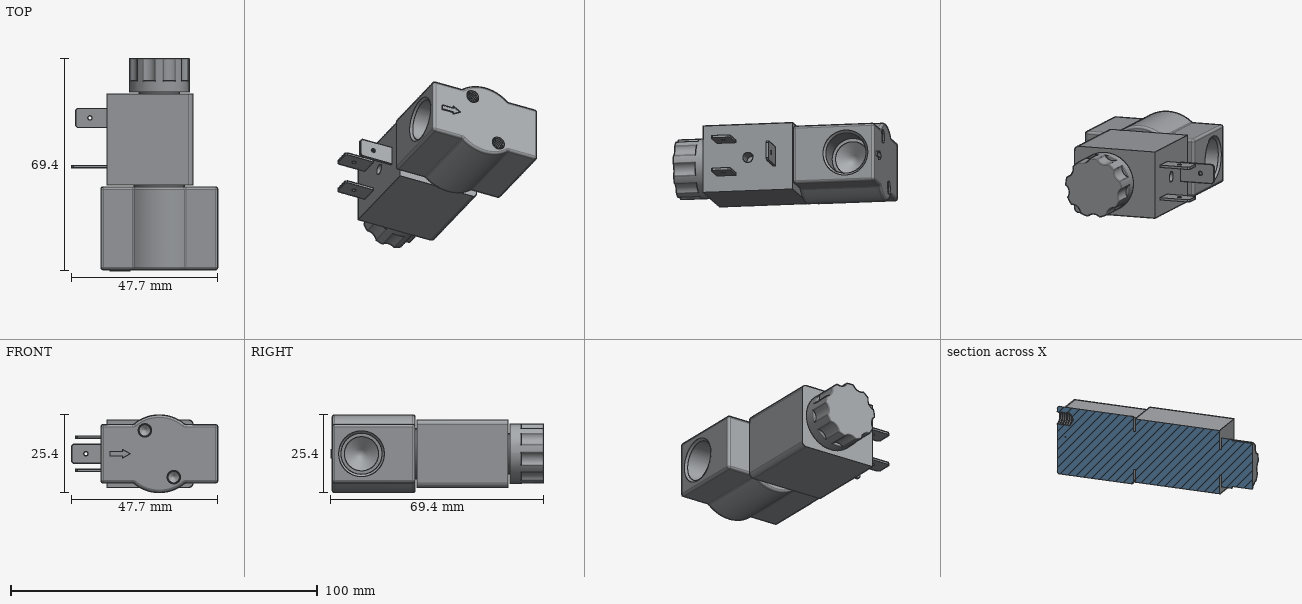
import cadquery as cq
import math


BODY_LENGTH_X = 38.15
BODY_DEPTH_Y = 27.05
BODY_HEIGHT_Z = 19.1
BULGE_RADIUS = 12.7
BODY_FILLET = 0.8

PORT_Y = 9.6
PORT_MOUTH_DIAMETER = 14.9
PORT_BORE_DIAMETER = 13.4
PORT_DRILL_DIAMETER = 11.2
PORT_DEPTH = 11.0
PORT_CONE_HEIGHT = 3.3

MOUNT_X = 4.7
MOUNT_Z = 7.6
THREAD_MAJOR_DIAMETER = 4.4
THREAD_MINOR_DIAMETER = 3.75
THREAD_PITCH = 0.8
THREAD_TURNS = 6
MOUNT_CONE_HEIGHT = 1.1

ARROW_TAIL_X = -16.0
ARROW_NECK_X = -12.0
ARROW_TIP_X = -9.5
ARROW_SHAFT_WIDTH = 1.5
ARROW_HEAD_WIDTH = 2.85
ARROW_RAISE = 0.4

NECK_GAP = 0.55
BODY_NECK_DIAMETER = 16.4
KNOB_NECK_DIAMETER = 13.2
NECK_KEY_WIDTH = 2.35
NECK_KEY_REACH = 8.3

COIL_X_MIN = -17.1
COIL_X_MAX = 11.0
COIL_LENGTH_Y = 29.8
COIL_HEIGHT_Z = 22.1
COIL_CORNER_RADIUS = 1.5
SCREW_HOLE_DIAMETER = 3.3
SCREW_HOLE_DEPTH = 6.95

TAB_WIDTH = 6.3
TAB_THICKNESS = 0.75
TAB_CORNER_CHAMFER = 0.6
TAB_HOLE_DIAMETER = 1.3
TAB_HOLE_FROM_TIP = 4.65
TAB_EMBED = 0.7
PAIR_TIP_X = -27.3
PAIR_Y = 49.55
PAIR_Z = 5.4
GROUND_TIP_X = -28.6
GROUND_Y = 33.65

KNOB_DIAMETER = 19.6
GRIP_COUNT = 9
GRIP_WIDTH = 4.15
GRIP_SAGITTA = 0.8
GRIP_LENGTH = 7.3
GRIP_EDGE_FILLET = 0.2
OVERALL_LENGTH = 69.4

COIL_START_Y = BODY_DEPTH_Y + NECK_GAP
COIL_END_Y = COIL_START_Y + COIL_LENGTH_Y
KNOB_START_Y = COIL_END_Y + NECK_GAP
KNOB_END_Y = OVERALL_LENGTH - ARROW_RAISE


def xz_plane(y):
    """Sketch plane across the main axis: local x is X, local y is Z, extrudes towards -Y."""
    return cq.Workplane("XZ", origin=(0, y, 0))


def disc(diameter, y_start, y_end):
    """Cylinder on the main axis between two stations."""
    return xz_plane(y_end).circle(diameter / 2).extrude(y_end - y_start)


def make_body():
    block = xz_plane(BODY_DEPTH_Y).rect(BODY_LENGTH_X, BODY_HEIGHT_Z).extrude(BODY_DEPTH_Y)
    body = block.union(disc(2 * BULGE_RADIUS, 0, BODY_DEPTH_Y))
    half_chord = math.sqrt(BULGE_RADIUS**2 - (BODY_HEIGHT_Z / 2) ** 2)
    body = body.edges("|Y and (<X or >X)").fillet(BODY_FILLET)
    for side in (-1, 1):
        for level in (-1, 1):
            valley = (side * half_chord, BODY_DEPTH_Y / 2, level * BODY_HEIGHT_Z / 2)
            body = body.edges(cq.NearestToPointSelector(valley)).fillet(BODY_FILLET)
    return body.faces("<Y or >Y").edges().fillet(BODY_FILLET)


def make_port():
    """Cutter for the -X port: chamfered mouth, bore with a flat floor, conical drill point."""
    mouth_x = -BODY_LENGTH_X / 2
    floor_x = mouth_x + PORT_DEPTH
    chamfer = (PORT_MOUTH_DIAMETER - PORT_BORE_DIAMETER) / 2
    profile = [
        (mouth_x, PORT_Y),
        (mouth_x, PORT_Y + PORT_MOUTH_DIAMETER / 2),
        (mouth_x + chamfer, PORT_Y + PORT_BORE_DIAMETER / 2),
        (floor_x, PORT_Y + PORT_BORE_DIAMETER / 2),
        (floor_x, PORT_Y + PORT_DRILL_DIAMETER / 2),
        (floor_x + PORT_CONE_HEIGHT, PORT_Y),
    ]
    return cq.Workplane("XY").polyline(profile).close().revolve(360, (0, PORT_Y), (1, PORT_Y))


def make_mount_hole():
    """Cutter along Y at the origin: ring-shaped thread grooves above a drill point."""
    major = THREAD_MAJOR_DIAMETER / 2
    minor = THREAD_MINOR_DIAMETER / 2
    profile = [(0, 0)]
    for turn in range(THREAD_TURNS):
        profile.append((major, turn * THREAD_PITCH))
        profile.append((minor, (turn + 0.5) * THREAD_PITCH))
    depth = (THREAD_TURNS - 0.5) * THREAD_PITCH
    profile.append((0, depth + MOUNT_CONE_HEIGHT))
    return cq.Workplane("XY").polyline(profile).close().revolve(360, (0, 0), (0, 1))


def make_arrow():
    shaft = ARROW_SHAFT_WIDTH / 2
    head = ARROW_HEAD_WIDTH / 2
    outline = [
        (ARROW_TAIL_X, -shaft),
        (ARROW_NECK_X, -shaft),
        (ARROW_NECK_X, -head),
        (ARROW_TIP_X, 0),
        (ARROW_NECK_X, head),
        (ARROW_NECK_X, shaft),
        (ARROW_TAIL_X, shaft),
    ]
    return xz_plane(0).polyline(outline).close().extrude(ARROW_RAISE)


def make_body_neck():
    """Round neck with a narrow flat-faced key on its -X side."""
    key = (
        xz_plane(COIL_START_Y)
        .center(-NECK_KEY_REACH / 2, 0)
        .rect(NECK_KEY_REACH, NECK_KEY_WIDTH)
        .extrude(NECK_GAP)
    )
    return disc(BODY_NECK_DIAMETER, BODY_DEPTH_Y, COIL_START_Y).union(key)


def make_coil():
    coil = (
        xz_plane(COIL_END_Y)
        .center((COIL_X_MIN + COIL_X_MAX) / 2, 0)
        .rect(COIL_X_MAX - COIL_X_MIN, COIL_HEIGHT_Z)
        .extrude(COIL_LENGTH_Y)
        .edges("|Y and >X")
        .fillet(COIL_CORNER_RADIUS)
    )
    screw_hole = (
        cq.Workplane("YZ", origin=(COIL_X_MIN, (COIL_START_Y + COIL_END_Y) / 2, 0))
        .circle(SCREW_HOLE_DIAMETER / 2)
        .extrude(SCREW_HOLE_DEPTH)
    )
    return coil.cut(screw_hole)


def make_tab(tip_x):
    """Spade terminal lying flat in the XY plane, centred on the X axis."""
    length = COIL_X_MIN + TAB_EMBED - tip_x
    return (
        cq.Workplane("XY")
        .box(length, TAB_WIDTH, TAB_THICKNESS)
        .edges("|Z and <X")
        .chamfer(TAB_CORNER_CHAMFER)
        .translate((tip_x + length / 2, 0, 0))
        .cut(
            cq.Workplane("XY")
            .center(tip_x + TAB_HOLE_FROM_TIP, 0)
            .circle(TAB_HOLE_DIAMETER / 2)
            .extrude(TAB_THICKNESS, both=True)
        )
    )


def make_knob():
    knob = disc(KNOB_DIAMETER, KNOB_START_Y, KNOB_END_Y)
    half_width = GRIP_WIDTH / 2
    scoop_radius = (half_width**2 + GRIP_SAGITTA**2) / (2 * GRIP_SAGITTA)
    chord_distance = math.sqrt((KNOB_DIAMETER / 2) ** 2 - half_width**2)
    scoop_centre = chord_distance + scoop_radius - GRIP_SAGITTA
    scoop = xz_plane(KNOB_END_Y).center(0, -scoop_centre).circle(scoop_radius).extrude(GRIP_LENGTH)
    for index in range(GRIP_COUNT):
        knob = knob.cut(scoop.rotate((0, 0, 0), (0, 1, 0), index * 360 / GRIP_COUNT))
    floor_faces = knob.faces("|Y").faces("not (<Y or >Y)")
    floor_rims = floor_faces.edges(cq.selectors.RadiusNthSelector(-1))
    return knob.edges("|Y or >Y").add(floor_rims).fillet(GRIP_EDGE_FILLET)


body = make_body()
port = make_port()
body = body.cut(port).cut(port.mirror("YZ"))
mount_hole = make_mount_hole()
for side in (-1, 1):
    body = body.cut(mount_hole.translate((side * MOUNT_X, 0, -side * MOUNT_Z)))

body_neck = make_body_neck()
knob_neck = disc(KNOB_NECK_DIAMETER, COIL_END_Y, KNOB_START_Y)

result = (
    body.union(make_arrow())
    .union(body_neck)
    .union(make_coil())
    .union(knob_neck)
    .union(make_knob())
)

for side in (-1, 1):
    result = result.union(make_tab(PAIR_TIP_X).translate((0, PAIR_Y, side * PAIR_Z)))
ground_tab = make_tab(GROUND_TIP_X).rotate((0, 0, 0), (1, 0, 0), 90)
result = result.union(ground_tab.translate((0, GROUND_Y, 0)))